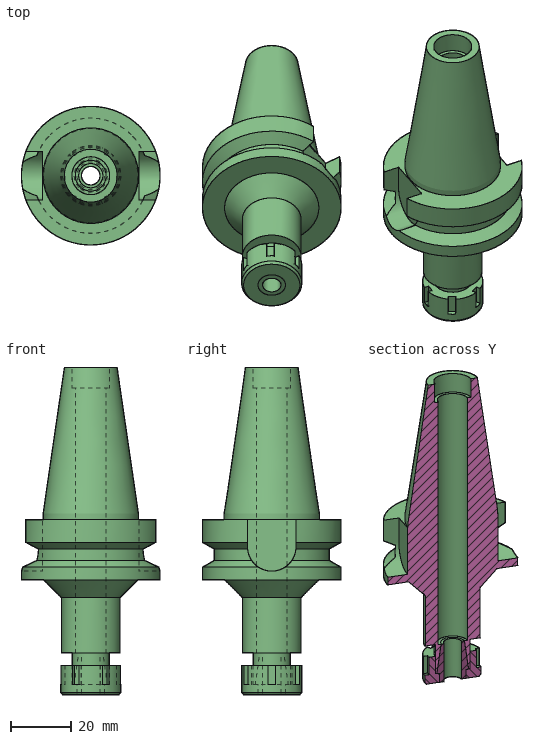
import cadquery as cq
import math

TOTAL_HEIGHT = 108.4

TAPER_RATIO = 7 / 24
GAUGE_RADIUS = 15.8
GAUGE_HEIGHT = 59.9
TAPER_TOP_RADIUS = GAUGE_RADIUS - TAPER_RATIO / 2 * (TOTAL_HEIGHT - GAUGE_HEIGHT)
FLANGE_TOP = 58.0
FLANGE_THICKNESS = 19.9
FLANGE_BOTTOM = FLANGE_TOP - FLANGE_THICKNESS
FLANGE_RADIUS = 23.0

GROOVE_ROOT_RADIUS = 19.1
GROOVE_TOP = FLANGE_TOP - 7.5
GROOVE_WIDTH = 8.2
GROOVE_BOTTOM = GROOVE_TOP - GROOVE_WIDTH
GROOVE_FLANK_ANGLE = 30
GROOVE_FLANK_HEIGHT = (FLANGE_RADIUS - GROOVE_ROOT_RADIUS) * math.tan(math.radians(GROOVE_FLANK_ANGLE))

KEYWAY_WIDTH = 16.0
KEYWAY_FLOOR_X = 16.0
KEYWAY_DEPTH = 17.0

SHANK_RADIUS = 9.8
CONE_TOP_RADIUS = 15.6
CONE_BOTTOM = FLANGE_BOTTOM - (CONE_TOP_RADIUS - SHANK_RADIUS)
SHANK_BOTTOM = 13.9
NOSE_RADIUS = 6.2
NOSE_BOTTOM = 3.4

MOUTH_BORE_RADIUS = 6.3
MOUTH_BORE_DEPTH = 6.7
MAIN_BORE_RADIUS = 5.1

COLLET_HEIGHT = 13.9
COLLET_TOP_RADIUS = 4.0
COLLET_ANGLE = 8
COLLET_SHOULDER_RADIUS = (
    COLLET_TOP_RADIUS + (COLLET_HEIGHT - NOSE_BOTTOM) * math.tan(math.radians(COLLET_ANGLE))
)
COLLET_TIP_RADIUS = 4.5
TOOL_HOLE_RADIUS = 3.0

NUT_RADIUS = 10.0
NUT_HEIGHT = 9.8
NUT_CHAMFER_WIDTH = 0.7
NUT_CHAMFER_HEIGHT = 0.9
SPANNER_SLOT_COUNT = 6
SPANNER_SLOT_WIDTH = 2.5
SPANNER_SLOT_BOTTOM = 3.5
SPANNER_SLOT_FLOOR = 8.5


def revolved(outline):
    """Turn a closed outline of (radius, height) points around the Z axis."""
    return cq.Workplane("XZ").polyline(outline).close().revolve(360, (0, 0), (0, 1))


def keyway():
    """Round-ended keyway cutter on the +X side, open at the flange top and rim."""
    end_radius = KEYWAY_WIDTH / 2
    end_bottom = FLANGE_TOP - KEYWAY_DEPTH
    end_center = end_bottom + end_radius
    return (
        cq.Workplane("YZ", origin=(KEYWAY_FLOOR_X, 0, 0))
        .moveTo(-end_radius, FLANGE_TOP)
        .lineTo(-end_radius, end_center)
        .threePointArc((0, end_bottom), (end_radius, end_center))
        .lineTo(end_radius, FLANGE_TOP)
        .close()
        .extrude(FLANGE_RADIUS - KEYWAY_FLOOR_X)
    )


def make_holder():
    """Taper, grooved flange, shank and nose, hollow from end to end."""
    mouth_bore_bottom = TOTAL_HEIGHT - MOUTH_BORE_DEPTH
    body = revolved([
        (MOUTH_BORE_RADIUS, TOTAL_HEIGHT),
        (TAPER_TOP_RADIUS, TOTAL_HEIGHT),
        (GAUGE_RADIUS, GAUGE_HEIGHT),
        (GAUGE_RADIUS, FLANGE_TOP),
        (FLANGE_RADIUS, FLANGE_TOP),
        (FLANGE_RADIUS, GROOVE_TOP),
        (GROOVE_ROOT_RADIUS, GROOVE_TOP - GROOVE_FLANK_HEIGHT),
        (GROOVE_ROOT_RADIUS, GROOVE_BOTTOM + GROOVE_FLANK_HEIGHT),
        (FLANGE_RADIUS, GROOVE_BOTTOM),
        (FLANGE_RADIUS, FLANGE_BOTTOM),
        (CONE_TOP_RADIUS, FLANGE_BOTTOM),
        (SHANK_RADIUS, CONE_BOTTOM),
        (SHANK_RADIUS, SHANK_BOTTOM),
        (NOSE_RADIUS, SHANK_BOTTOM),
        (NOSE_RADIUS, NOSE_BOTTOM),
        (COLLET_SHOULDER_RADIUS, NOSE_BOTTOM),
        (COLLET_TOP_RADIUS, COLLET_HEIGHT),
        (MAIN_BORE_RADIUS, COLLET_HEIGHT),
        (MAIN_BORE_RADIUS, mouth_bore_bottom),
        (MOUTH_BORE_RADIUS, mouth_bore_bottom),
    ])
    for angle in (0, 180):
        body = body.cut(keyway().rotate((0, 0, 0), (0, 0, 1), angle))
    return body


def make_nut():
    """Ring around the nose, with a lip under the collet and spanner slots in its rim."""
    body = revolved([
        (NOSE_RADIUS, NUT_HEIGHT),
        (NUT_RADIUS, NUT_HEIGHT),
        (NUT_RADIUS, NUT_CHAMFER_HEIGHT),
        (NUT_RADIUS - NUT_CHAMFER_WIDTH, 0),
        (COLLET_TIP_RADIUS, 0),
        (COLLET_TIP_RADIUS, NOSE_BOTTOM),
        (NOSE_RADIUS, NOSE_BOTTOM),
    ])
    slot = cq.Workplane("XY", origin=(SPANNER_SLOT_FLOOR, 0, SPANNER_SLOT_BOTTOM)).box(
        NUT_RADIUS - SPANNER_SLOT_FLOOR,
        SPANNER_SLOT_WIDTH,
        NUT_HEIGHT - SPANNER_SLOT_BOTTOM,
        centered=(False, True, False),
    )
    for index in range(SPANNER_SLOT_COUNT):
        angle = index * 360 / SPANNER_SLOT_COUNT
        body = body.cut(slot.rotate((0, 0, 0), (0, 0, 1), angle))
    return body


def make_collet():
    """Tapered sleeve in the nose, with a narrower tip through the nut."""
    return revolved([
        (TOOL_HOLE_RADIUS, COLLET_HEIGHT),
        (COLLET_TOP_RADIUS, COLLET_HEIGHT),
        (COLLET_SHOULDER_RADIUS, NOSE_BOTTOM),
        (COLLET_TIP_RADIUS, NOSE_BOTTOM),
        (COLLET_TIP_RADIUS, 0),
        (TOOL_HOLE_RADIUS, 0),
    ])


holder = make_holder()
nut = make_nut()
collet = make_collet()

result = cq.Compound.makeCompound([holder.val(), nut.val(), collet.val()])